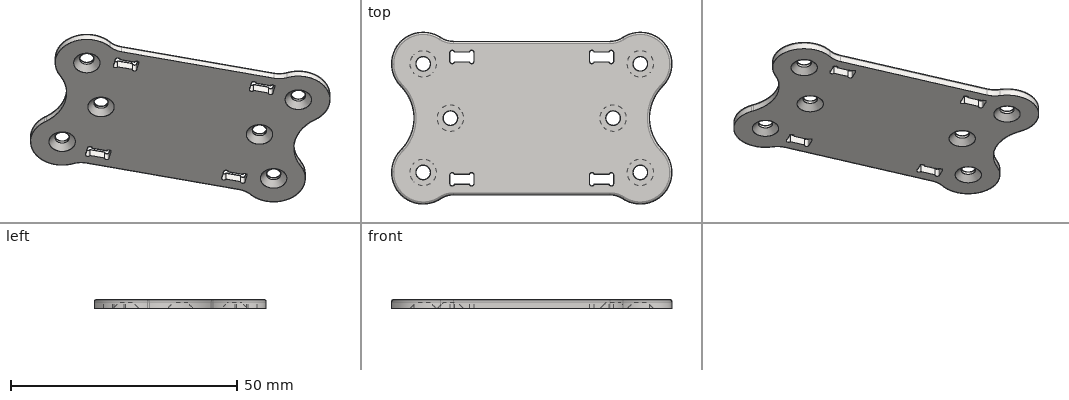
import cadquery as cq
import math

length = 62.0
width = 38.0
thickness = 2.0
edge_fillet = 0.5

lobe_radius = 7.0
lobe_x = length / 2 - lobe_radius
lobe_y = width / 2 - lobe_radius
long_edge_y = 17.0
shoulder_radius = 5.0
waist_radius = 10.0
neck_length = 0.5

hole_diameter = 3.15
middle_hole_x = 18.0
countersink_diameter = 5.8
countersink_depth = (countersink_diameter - hole_diameter) / 2

slot_x = 15.4
slot_y = 13.5
slot_length = 5.25
slot_width = 2.15
relief_radius = 0.5
relief_overhang = 0.4


def polar(center, radius, angle):
    """Point on a circle at an angle in radians."""
    return (
        center[0] + radius * math.cos(angle),
        center[1] + radius * math.sin(angle),
    )


def quarter_outline():
    """Closed +X +Y quarter of the plate outline, cornered at the origin."""
    lobe = (lobe_x, lobe_y)

    shoulder_y = long_edge_y + shoulder_radius
    shoulder_rise = shoulder_y - lobe_y
    shoulder_run = math.sqrt((lobe_radius + shoulder_radius) ** 2 - shoulder_rise**2)
    shoulder = (lobe_x - shoulder_run, shoulder_y)
    shoulder_angle = math.atan2(shoulder_rise, -shoulder_run)
    shoulder_end = polar(lobe, lobe_radius, shoulder_angle)
    shoulder_start_angle = -math.pi / 2
    shoulder_end_angle = shoulder_angle - math.pi
    shoulder_mid_angle = (shoulder_start_angle + shoulder_end_angle) / 2
    shoulder_mid = polar(shoulder, shoulder_radius, shoulder_mid_angle)

    radius_sum = lobe_radius + waist_radius
    waist_run = math.sqrt(radius_sum**2 + neck_length**2 - lobe_y**2)
    waist = (lobe_x + waist_run, 0)
    neck_angle = math.atan2(-lobe_y, waist_run) + math.atan2(neck_length, radius_sum)
    neck_start = polar(lobe, lobe_radius, neck_angle)
    neck_end = polar(waist, waist_radius, neck_angle + math.pi)
    lobe_mid = polar(lobe, lobe_radius, (shoulder_angle + neck_angle) / 2)
    waist_mid = polar(waist, waist_radius, neck_angle / 2 + math.pi)

    return (
        cq.Workplane("XY")
        .lineTo(0, long_edge_y)
        .lineTo(shoulder[0], long_edge_y)
        .threePointArc(shoulder_mid, shoulder_end)
        .threePointArc(lobe_mid, neck_start)
        .lineTo(*neck_end)
        .threePointArc(waist_mid, (waist[0] - waist_radius, 0))
        .close()
    )


def make_plate():
    quarter = quarter_outline().extrude(thickness)
    half = quarter.union(quarter.mirror("YZ"))
    plate = half.union(half.mirror("XZ")).clean()
    return plate.faces(">Z").edges().fillet(edge_fillet)


def make_holes():
    corners = [(sx * lobe_x, sy * lobe_y) for sx in (-1, 1) for sy in (-1, 1)]
    middles = [(-middle_hole_x, 0), (middle_hole_x, 0)]
    points = corners + middles
    bores = cq.Workplane("XY").pushPoints(points).circle(hole_diameter / 2).extrude(thickness)
    cone = cq.Solid.makeCone(countersink_diameter / 2, hole_diameter / 2, countersink_depth)
    countersinks = cq.Workplane("XY").pushPoints(points).eachpoint(lambda place: cone.moved(place))
    return bores.union(countersinks)


def make_slots():
    centers = [(sx * slot_x, sy * slot_y) for sx in (-1, 1) for sy in (-1, 1)]
    relief_x = slot_length / 2 - relief_radius
    relief_y = slot_width / 2 + relief_overhang - relief_radius
    reliefs = [
        (x + sx * relief_x, y + sy * relief_y)
        for x, y in centers
        for sx in (-1, 1)
        for sy in (-1, 1)
    ]
    bodies = cq.Workplane("XY").pushPoints(centers).rect(2 * relief_x, slot_width).extrude(thickness)
    ends = cq.Workplane("XY").pushPoints(centers).rect(slot_length, 2 * relief_y).extrude(thickness)
    rounds = cq.Workplane("XY").pushPoints(reliefs).circle(relief_radius).extrude(thickness)
    return bodies.union(ends).union(rounds)


result = make_plate().cut(make_holes()).cut(make_slots())